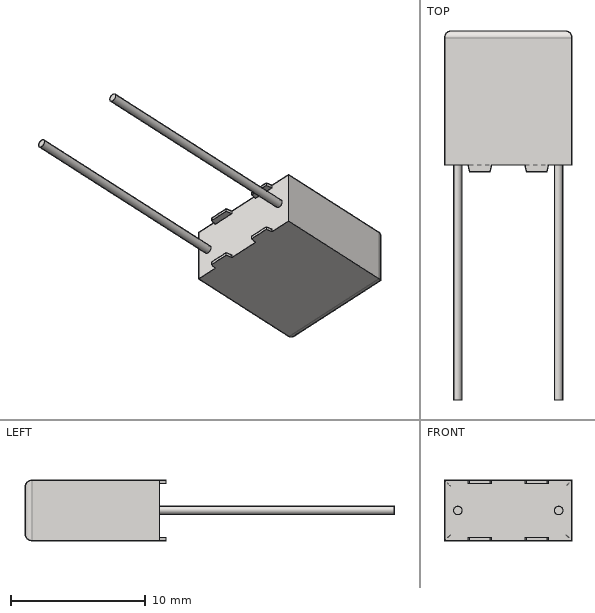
import cadquery as cq


total_length = 27.5
case_width = 9.5
case_thickness = 4.5

case_length = 10.0
end_fillet = 0.52

foot_height = 0.5
foot_thickness = 0.25
foot_base_width = 1.75
foot_tip_width = 1.55
foot_spacing = 4.24

lead_diameter = 0.63
lead_spacing = 7.5
lead_length = total_length - case_length


def make_foot(x_center, z_bottom):
    """Tapered foot standing on the lead face, pointing toward -Y."""
    half_base = foot_base_width / 2
    half_tip = foot_tip_width / 2
    outline = [
        (x_center - half_base, 0),
        (x_center + half_base, 0),
        (x_center + half_tip, -foot_height),
        (x_center - half_tip, -foot_height),
    ]
    return cq.Workplane("XY", origin=(0, 0, z_bottom)).polyline(outline).close().extrude(foot_thickness)


def make_case():
    """Rectangular case with a rounded closed end and four feet on the lead face."""
    case = cq.Workplane("XY").box(case_width, case_length, case_thickness, centered=(True, False, True))
    case = case.faces(">Y").edges().fillet(end_fillet)
    for x_center in (-foot_spacing / 2, foot_spacing / 2):
        for z_bottom in (-case_thickness / 2, case_thickness / 2 - foot_thickness):
            case = case.union(make_foot(x_center, z_bottom))
    return case


def make_lead(x_center):
    """Round wire lead that meets the lead face of the case."""
    return cq.Workplane("XZ").center(x_center, 0).circle(lead_diameter / 2).extrude(lead_length)


case = make_case()
leads = [make_lead(x_center) for x_center in (-lead_spacing / 2, lead_spacing / 2)]

result = cq.Compound.makeCompound([case.val(), *[lead.val() for lead in leads]])